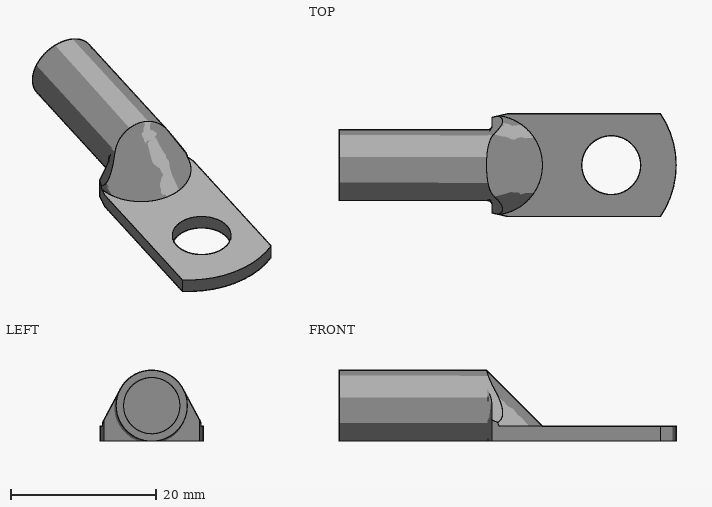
import cadquery as cq
import math

length = 46.45
width = 14.2
tube_diameter = 9.8
bore_diameter = 7.75
tube_radius = tube_diameter / 2
half_width = width / 2

palm_thickness = 2.1
palm_full_width_x = 23.25
palm_corner_x = 44.25
hole_x = 37.5
hole_diameter = 8.1

shoulder_x = 20.5
fillet_radius = 0.55
rear_x = shoulder_x + fillet_radius
rear_half_width = 6.6
side_slope = math.radians(62)
nose_radius = 6.87
nose_tip_x = 28.0
slope_height = tube_diameter - palm_thickness
slope_run = slope_height
bore_depth = nose_tip_x - slope_run


def palm_plan(height):
    """Palm outline with tapered rear corners and a rounded far end."""
    taper = (half_width - rear_half_width) / (palm_full_width_x - rear_x)
    start_half_width = rear_half_width - taper * fillet_radius
    return (
        cq.Workplane("XY")
        .moveTo(shoulder_x, -start_half_width)
        .lineTo(palm_full_width_x, -half_width)
        .lineTo(palm_corner_x, -half_width)
        .threePointArc((length, 0), (palm_corner_x, half_width))
        .lineTo(palm_full_width_x, half_width)
        .lineTo(shoulder_x, start_half_width)
        .close()
        .extrude(height)
    )


def shoulder_section():
    """Round top with sides running tangentially down and outward to the underside."""
    tangent_y = tube_radius * math.sin(side_slope)
    tangent_z = tube_radius * (1 + math.cos(side_slope))
    foot_y = tangent_y + tangent_z / math.tan(side_slope)
    return (
        cq.Workplane("YZ", origin=(shoulder_x, 0, 0))
        .moveTo(-foot_y, 0)
        .lineTo(-tangent_y, tangent_z)
        .threePointArc((0, tube_diameter), (tangent_y, tangent_z))
        .lineTo(foot_y, 0)
        .close()
        .extrude(nose_tip_x - shoulder_x)
    )


def slanted_nose():
    """Circle on the palm surface swept up and back along the slope."""
    center = cq.Vector(nose_tip_x - nose_radius, 0, palm_thickness)
    rim = cq.Wire.makeCircle(nose_radius, center, cq.Vector(0, 0, 1))
    return cq.Workplane(cq.Solid.extrudeLinear(rim, [], cq.Vector(-slope_run, 0, slope_height)))


def root_relief():
    """Ring removed around the tube, leaving a concave fillet at the shoulder face."""
    ring_radius = tube_radius + fillet_radius
    arc_offset = fillet_radius * math.sqrt(0.5)
    return (
        cq.Workplane("XY", origin=(0, 0, tube_radius))
        .moveTo(shoulder_x, tube_radius)
        .threePointArc((shoulder_x + arc_offset, ring_radius - arc_offset), (rear_x, ring_radius))
        .lineTo(rear_x, width)
        .lineTo(shoulder_x, width)
        .close()
        .revolve(360, (0, 0, 0), (1, 0, 0))
    )


palm = palm_plan(palm_thickness)
shoulder = shoulder_section().intersect(palm_plan(tube_diameter)).intersect(slanted_nose())

slope_trim = (
    cq.Workplane("XY")
    .box(slope_run, width, slope_height, centered=(False, True, False))
    .translate((bore_depth, 0, palm_thickness))
    .cut(slanted_nose())
)
tube = cq.Workplane("YZ").center(0, tube_radius).circle(tube_radius).extrude(nose_tip_x).cut(slope_trim)
bore = cq.Workplane("YZ").center(0, tube_radius).circle(bore_diameter / 2).extrude(bore_depth)
hole = cq.Workplane("XY").center(hole_x, 0).circle(hole_diameter / 2).extrude(palm_thickness)

result = palm.union(shoulder).cut(root_relief()).union(tube).cut(bore).cut(hole)